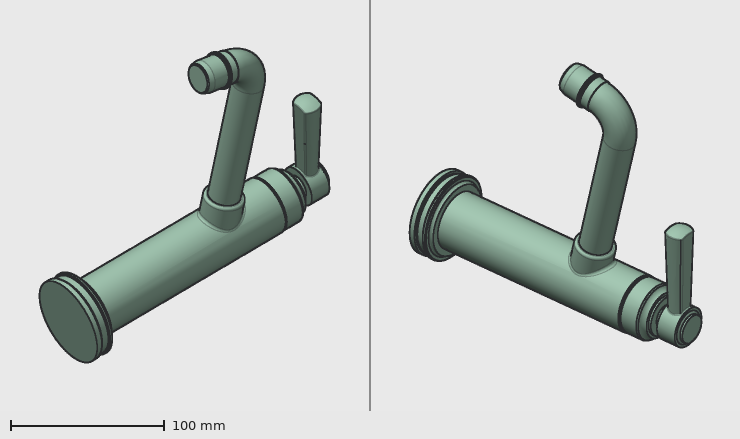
import cadquery as cq
import math


flange_radius = 29.9
flange_plate = 4.0
waist_radius = 28.6
waist_groove_radius = 28.2
waist_groove_width = 1.3
rim_start = 10.3
rim_end = 13.3
rim_chamfer = 0.6
flange_end = 16.0
flange_cove_radius = 26.7
flange_end_radius = 25.2

body_radius = 20.5
body_end = 166.0
body_chamfer = 0.6
joint_radius = 19.5
joint_width = 0.8
cap_radius = 20.0
cap_end = 179.8
cap_lip = 1.3
shoulder_end = 185.5
shoulder_radius = 16.2
cap_face = 187.5
cap_face_radius = 14.0
stem_radius = 8.2

hub_start = 192.5
hub_end = 207.2
hub_radius = 14.0
button_start_radius = 12.0
button_step = 1.3
button_radius = 10.0
overall_length = 210.4

lever_root_width = 14.0
lever_root_flats = 10.7
lever_root_face = 9.3
lever_tip_width = 18.0
lever_tip_flats = 14.5
lever_tip_face = 12.2
lever_edge_fillet = 1.9
lever_rim_fillet = 0.6
lever_top = 76.4
lever_dome_radius = 20.0
lever_root_fillet = 0.8

spout_foot = 123.5
spout_tilt = 12.0
tube_radius = 11.0
tube_length = 129.0
bend_radius = 22.0
collar_radius = 13.9
collar_length = 33.9
collar_fillet = 1.9
collar_base_fillet = 2.0

nozzle_radius = 11.4
nozzle_ring_start = 6.3
nozzle_ring_width = 2.5
nozzle_ring_radius = 12.6
nozzle_ring_chamfer = 0.6
nozzle_taper_start = 20.6
nozzle_length = 25.5
nozzle_end_radius = 10.3
nozzle_end_fillet = 0.8

x_axis = cq.Vector(1, 0, 0)
hub_middle = (hub_start + hub_end) / 2

tilt = math.radians(spout_tilt)
rise = cq.Vector(0, math.sin(tilt), math.cos(tilt))
reach = cq.Vector(0, -math.cos(tilt), math.sin(tilt))
foot = cq.Vector(0, spout_foot, 0)


def axis_plane(origin, axis):
    """Plane holding X and the axis: local x is the radius, local y runs along the axis."""
    return cq.Plane(origin=origin, xDir=x_axis, normal=x_axis.cross(axis))


def turn(sketch):
    """Spin a closed profile about the local y axis of its plane."""
    return sketch.close().revolve(360, (0, 0), (0, 1))


def make_body():
    profile = (
        cq.Workplane("XY")
        .lineTo(flange_radius, 0)
        .lineTo(flange_radius, flange_plate)
        .lineTo(waist_groove_radius, flange_plate)
        .lineTo(waist_groove_radius, flange_plate + waist_groove_width)
        .lineTo(waist_radius, flange_plate + waist_groove_width)
        .lineTo(waist_radius, rim_start)
        .lineTo(flange_radius - rim_chamfer, rim_start)
        .lineTo(flange_radius, rim_start + rim_chamfer)
        .lineTo(flange_radius, rim_end - rim_chamfer)
        .lineTo(flange_radius - rim_chamfer, rim_end)
        .lineTo(flange_cove_radius, rim_end)
        .radiusArc((flange_end_radius, flange_end), flange_end - rim_end)
        .lineTo(body_radius, flange_end)
        .lineTo(body_radius, body_end - body_chamfer)
        .lineTo(body_radius - body_chamfer, body_end)
        .lineTo(joint_radius, body_end)
        .lineTo(joint_radius, body_end + joint_width)
        .lineTo(cap_radius, body_end + joint_width)
        .lineTo(cap_radius, cap_end)
        .lineTo(cap_radius - cap_lip / 2, cap_end + cap_lip)
        .radiusArc((shoulder_radius, shoulder_end), shoulder_end - cap_end)
        .lineTo(cap_face_radius, shoulder_end)
        .lineTo(cap_face_radius, cap_face)
        .lineTo(stem_radius, cap_face)
        .lineTo(stem_radius, hub_start)
        .lineTo(hub_radius, hub_start)
        .lineTo(hub_radius, hub_end)
        .lineTo(button_start_radius, hub_end)
        .lineTo(button_radius, hub_end + button_step)
        .lineTo(button_radius, overall_length)
        .lineTo(0, overall_length)
    )
    return turn(profile)


def lever_outline(plane, width, flats, face):
    """Two flat faces along X, the given distance apart, joined by bowed sides."""
    half_face = face / 2
    return (
        plane.moveTo(-half_face, -flats / 2)
        .lineTo(half_face, -flats / 2)
        .threePointArc((width / 2, 0), (half_face, flats / 2))
        .lineTo(-half_face, flats / 2)
        .threePointArc((-width / 2, 0), (-half_face, -flats / 2))
        .close()
    )


def make_lever():
    root = cq.Workplane("XY").center(0, hub_middle)
    tip = lever_outline(root, lever_root_width, lever_root_flats, lever_root_face).workplane(offset=lever_top)
    bar = lever_outline(tip, lever_tip_width, lever_tip_flats, lever_tip_face).loft(ruled=True)
    bar = bar.edges("not(#Z)").fillet(lever_edge_fillet)
    dome_centre = (0, hub_middle, lever_top - lever_dome_radius)
    dome = cq.Workplane("XY").sphere(lever_dome_radius).translate(dome_centre)
    shaft = cq.Workplane("XY").center(0, hub_middle).circle(lever_tip_width).extrude(dome_centre[2])
    return bar.intersect(dome.union(shaft)).faces(">Z").edges().fillet(lever_rim_fillet)


def make_spout():
    bend_start = foot + rise * tube_length
    bend_centre = bend_start + reach * bend_radius
    bend_middle = bend_centre + (rise - reach) * (bend_radius / math.sqrt(2))
    bend_end = bend_centre + rise * bend_radius

    straight = cq.Edge.makeLine(foot, bend_start)
    bend = cq.Edge.makeThreePointArc(bend_start, bend_middle, bend_end)
    path = cq.Workplane(cq.Wire.assembleEdges([straight, bend]))
    tube = cq.Workplane(cq.Plane(foot, x_axis, rise)).circle(tube_radius).sweep(path)

    ring_end = nozzle_ring_start + nozzle_ring_width
    nozzle = turn(
        cq.Workplane(axis_plane(bend_end, reach))
        .lineTo(nozzle_radius, 0)
        .lineTo(nozzle_radius, nozzle_ring_start)
        .lineTo(nozzle_ring_radius - nozzle_ring_chamfer, nozzle_ring_start)
        .lineTo(nozzle_ring_radius, nozzle_ring_start + nozzle_ring_chamfer)
        .lineTo(nozzle_ring_radius, ring_end - nozzle_ring_chamfer)
        .lineTo(nozzle_ring_radius - nozzle_ring_chamfer, ring_end)
        .lineTo(nozzle_radius, ring_end)
        .lineTo(nozzle_radius, nozzle_taper_start)
        .lineTo(nozzle_end_radius, nozzle_length - nozzle_end_fillet)
        .lineTo(nozzle_end_radius - nozzle_end_fillet, nozzle_length)
        .lineTo(0, nozzle_length)
    )
    return tube.union(nozzle)


def make_collar():
    return turn(
        cq.Workplane(axis_plane(foot, rise))
        .lineTo(collar_radius, 0)
        .lineTo(collar_radius, collar_length - collar_fillet)
        .radiusArc((collar_radius - collar_fillet, collar_length), -collar_fillet)
        .lineTo(0, collar_length)
    )


def seam_edges(part, y_middle, half_size, z_low, z_high):
    """Edges centred in a box that is square in plan and centred on x = 0."""
    box = cq.selectors.BoxSelector(
        (-half_size, y_middle - half_size, z_low),
        (half_size, y_middle + half_size, z_high),
    )
    return part.edges(box)


body = make_body().union(make_collar())
body = seam_edges(body, spout_foot, body_radius, body_radius / 2, body_radius)
body = body.fillet(collar_base_fillet)

faucet = body.union(make_spout()).union(make_lever())
lever_seam = seam_edges(faucet, hub_middle, lever_root_width / 2, hub_radius / 2, hub_radius)
result = lever_seam.fillet(lever_root_fillet)